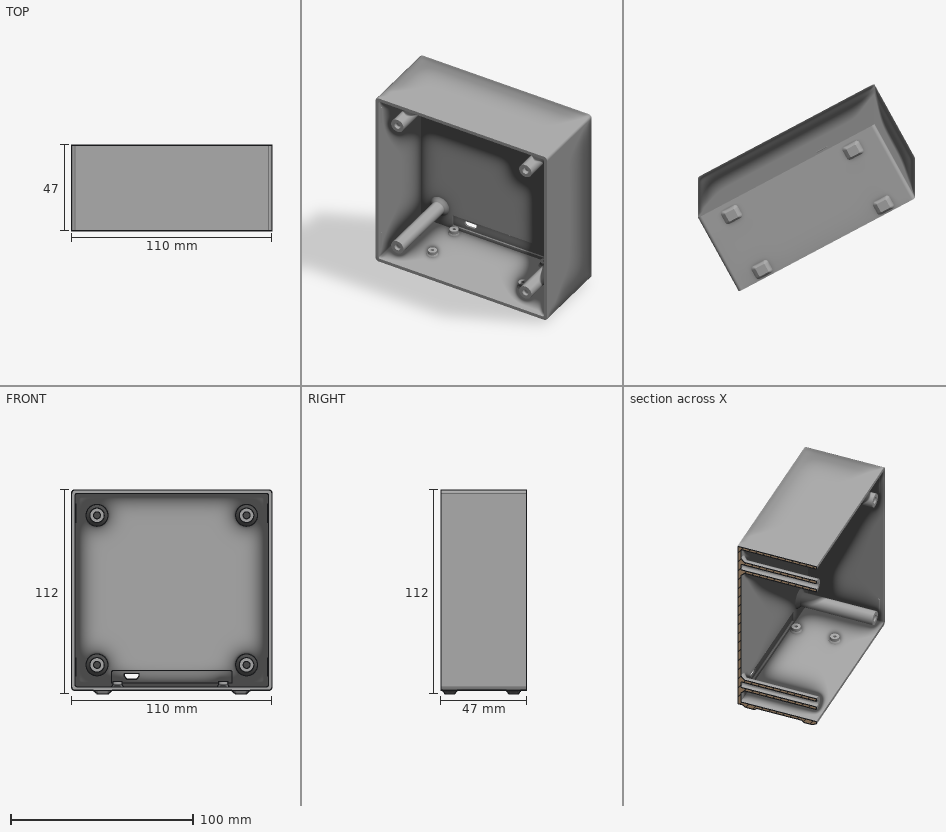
import cadquery as cq

side = 110.0
depth = 47.0
total_height = 112.0
wall = 2.0
outer_radius = 2.0
inner_radius = 1.0
half_side = side / 2
half_depth = depth / 2
inner_half = half_side - wall
back_face_y = half_depth - wall

post_offset = 41.0
post_diameter = 8.0
post_hole_diameter = 3.8
post_collar_diameter = 12.0
post_collar_height = 2.0

standoff_pitch_x = 58.0
standoff_pitch_y = 23.0
standoff_center_x = -0.8
standoff_back_gap = 3.5
standoff_diameter = 5.0
standoff_hole_diameter = 1.9
standoff_height = 2.9
standoff_collar_diameter = 6.7
standoff_collar_height = 1.0

recess_width = 66.0
recess_floor_gap = 2.0
recess_height = 7.0
recess_depth = 1.0
recess_radius = 1.0
port_center_x = -22.0
port_top_z = -45.8
port_width = 8.0
port_bottom_width = 5.4
port_height = 3.0
port_side_height = 1.3

foot_height = total_height - side
foot_offset_x = 37.9
foot_offset_y = 17.5
foot_center_y = -1.1
foot_length = 10.3
foot_width = 8.0
foot_tip_length = 5.7
foot_tip_width = 5.2
foot_radius = 1.7
foot_tip_radius = 0.5

ridge_length = 10.1
ridge_width = 1.0
ridge_height = 0.5
ridge_offset_z = 42.1
ridge_rim_gap = 2.7


def make_shell():
    outer = cq.Workplane("XY").box(side, depth, side).edges("|Y").fillet(outer_radius)
    cavity = (
        cq.Workplane("XY")
        .box(2 * inner_half, depth, 2 * inner_half)
        .edges("|Y")
        .fillet(inner_radius)
        .translate((0, -wall, 0))
    )
    return outer.cut(cavity)


def make_collared_pin(diameter, height, collar_diameter, collar_height, hole_diameter):
    """Pin along +Z from the origin with a conical collar at its root and a blind hole."""
    radius = diameter / 2
    profile = [
        (0, 0),
        (collar_diameter / 2, 0),
        (radius, collar_height),
        (radius, height),
        (0, height),
    ]
    pin = cq.Workplane("XZ").polyline(profile).close().revolve(360, (0, 0, 0), (0, 1, 0))
    hole = cq.Workplane("XY").circle(hole_diameter / 2).extrude(height)
    return pin.cut(hole)


def make_foot():
    """Tapered rounded block hanging from the underside of the floor, centred on Z."""
    base = cq.Sketch().rect(foot_length, foot_width).vertices().fillet(foot_radius)
    tip = cq.Sketch().rect(foot_tip_length, foot_tip_width).vertices().fillet(foot_tip_radius)
    return (
        cq.Workplane("XY", origin=(0, 0, -half_side))
        .placeSketch(base, tip.moved(cq.Location(cq.Vector(0, 0, -foot_height))))
        .loft()
    )


def make_recess():
    bottom_z = -inner_half + recess_floor_gap
    return (
        cq.Workplane("XY")
        .box(recess_width, recess_depth, recess_height)
        .edges("|Y and >Z")
        .fillet(recess_radius)
        .translate((0, back_face_y + recess_depth / 2, bottom_z + recess_height / 2))
    )


def make_port():
    shoulder_z = port_top_z - port_side_height
    bottom_z = port_top_z - port_height
    left = port_center_x - port_width / 2
    right = port_center_x + port_width / 2
    outline = [
        (left, port_top_z),
        (right, port_top_z),
        (right, shoulder_z),
        (port_center_x + port_bottom_width / 2, bottom_z),
        (port_center_x - port_bottom_width / 2, bottom_z),
        (left, shoulder_z),
    ]
    return cq.Workplane("XZ", origin=(0, half_depth, 0)).polyline(outline).close().extrude(2 * wall)


def make_ridge(direction):
    """Triangular ridge along Z on the side wall at the -X (-1) or +X (1) side."""
    wall_x = direction * inner_half
    center_y = -half_depth + ridge_rim_gap
    outline = [
        (wall_x, center_y - ridge_width / 2),
        (wall_x - direction * ridge_height, center_y),
        (wall_x, center_y + ridge_width / 2),
    ]
    return cq.Workplane("XY").polyline(outline).close().extrude(ridge_length / 2, both=True)


result = make_shell().cut(make_recess()).cut(make_port())

post = make_collared_pin(
    post_diameter, depth - wall, post_collar_diameter, post_collar_height, post_hole_diameter
).rotate((0, 0, 0), (1, 0, 0), 90)
standoff = make_collared_pin(
    standoff_diameter,
    standoff_height,
    standoff_collar_diameter,
    standoff_collar_height,
    standoff_hole_diameter,
)
foot = make_foot()
standoff_center_y = back_face_y - standoff_back_gap - standoff_pitch_y / 2

for x_sign in (-1, 1):
    ridge = make_ridge(x_sign)
    standoff_x = standoff_center_x + x_sign * standoff_pitch_x / 2
    for other_sign in (-1, 1):
        standoff_y = standoff_center_y + other_sign * standoff_pitch_y / 2
        foot_y = foot_center_y + other_sign * foot_offset_y
        result = (
            result.union(post.translate((x_sign * post_offset, back_face_y, other_sign * post_offset)))
            .union(standoff.translate((standoff_x, standoff_y, -inner_half)))
            .union(foot.translate((x_sign * foot_offset_x, foot_y, 0)))
            .union(ridge.translate((0, 0, other_sign * ridge_offset_z)))
        )